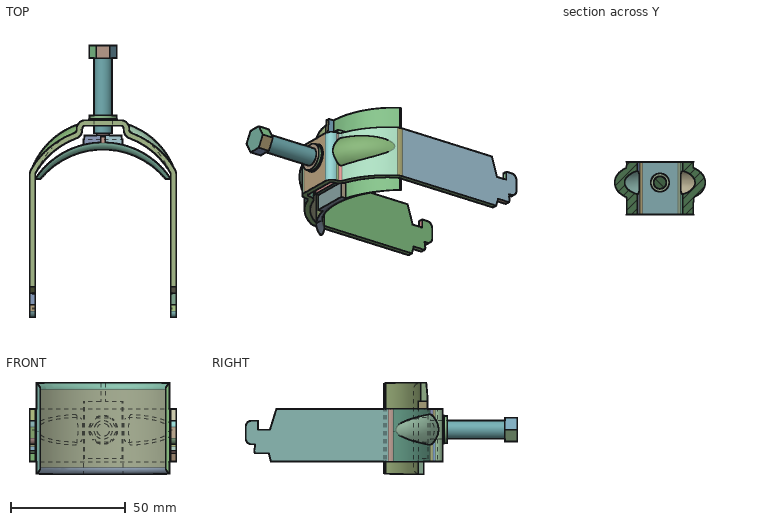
import cadquery as cq
import math


strap_width = 64.0
strap_thickness = 2.5
strap_top = 9.0
strap_bottom = -14.0
half_width = strap_width / 2
arm_end = -86.0

flank_radius = 36.2
flank_center = -39.65
crown_half_width = 11.1
crown_foot_half_width = 11.6
crown_bend_radius = 3.7
foot_bend_radius = 1.5
shoulder_bend_radius = 4.5

rib_ring_radius = 33.3
rib_section_radius = 9.0
rib_end = -21.5

notch_top_start = -72.6
notch_start = -75.4
notch_end = -80.5
notch_level = 0.0
nose_top = 3.9
nose_bottom = -6.5
nose_radius = 2.75
toe_neck = -81.9
toe_slope_top = -7.3
toe_tip = -82.3
toe_tip_level = -9.3
toe_bottom = -10.4
heel_start = -75.0
heel_end = -75.9

bolt_diameter = 8.0
head_corner_diameter = 12.0
head_top = 32.5
head_height = 5.5
shank_end = -5.8
tip_diameter = 5.6
tip_end = -6.65

collar_diameter = 12.0
collar_height = 2.0
collar_foot_diameter = 12.6
collar_foot_height = 0.6

saddle_length = 40.0
saddle_middle = 0.5
saddle_top = saddle_middle + saddle_length / 2
saddle_bottom = saddle_middle - saddle_length / 2
saddle_width = 58.0
saddle_radius = 35.4
saddle_crown = -9.7
saddle_depth = 3.2
lip_radius = 3.0
saddle_end = -25.7
saddle_outer_center = saddle_crown - saddle_radius
saddle_inner_center = saddle_outer_center - saddle_depth

boss_top = 12.4
boss_base_half_width = 8.5
boss_half_width = 8.1
pad_face = -8.3
fin_width = 1.8
fin_top_face = -7.2
fin_shoulder = 14.2


def box(x_range, y_range, z_range):
    """Axis-aligned block between the given limits."""
    lows, highs = zip(x_range, y_range, z_range)
    size = [high - low for low, high in zip(lows, highs)]
    return cq.Workplane("XY").box(*size, centered=False).translate(lows)


def cylinder_along_y(diameter, start, end):
    """Cylinder on the bolt axis between two Y values."""
    disk = cq.Workplane("XZ", origin=(0, end, 0)).circle(diameter / 2)
    return disk.extrude(end - start)


def flank_y(x):
    """Y of the outer flank face at a given X."""
    return flank_center + math.sqrt(flank_radius**2 - x**2)


def bend(block, x, y, radius):
    """Round the two mirrored Z edges of the block at (+-x, y)."""
    reach = 0.1
    for side in (-1, 1):
        low = (side * x - reach, y - reach, strap_bottom - reach)
        high = (side * x + reach, y + reach, strap_top + reach)
        block = block.edges("|Z").edges(cq.selectors.BoxSelector(low, high)).fillet(radius)
    return block


def make_strap_block():
    """Solid block bounded by the outer face of the bent strap."""
    shoulder_y = flank_y(half_width)
    foot_y = flank_y(crown_foot_half_width)
    mid_flank_x = (half_width + crown_foot_half_width) / 2
    mid_flank_y = flank_y(mid_flank_x)
    block_end = arm_end - 2 * strap_thickness
    block = (
        cq.Workplane("XY", origin=(0, 0, strap_bottom))
        .moveTo(-half_width, block_end)
        .lineTo(-half_width, shoulder_y)
        .threePointArc((-mid_flank_x, mid_flank_y), (-crown_foot_half_width, foot_y))
        .lineTo(-crown_half_width, 0)
        .lineTo(crown_half_width, 0)
        .lineTo(crown_foot_half_width, foot_y)
        .threePointArc((mid_flank_x, mid_flank_y), (half_width, shoulder_y))
        .lineTo(half_width, block_end)
        .close()
        .extrude(strap_top - strap_bottom)
    )
    block = bend(block, crown_half_width, 0, crown_bend_radius)
    block = bend(block, crown_foot_half_width, foot_y, foot_bend_radius)
    return bend(block, half_width, shoulder_y, shoulder_bend_radius)


def make_rib_ring(section_radius):
    """Part of a ring around Z with a disk section; rings of any section share one core circle."""
    disk_center = rib_ring_radius - rib_section_radius
    disk = cq.Workplane("XZ").center(disk_center, 0).circle(section_radius)
    ring = disk.revolve(360, (-disk_center, 0), (-disk_center, 1))
    ring = ring.translate((0, -rib_ring_radius, 0))
    return ring.intersect(
        box((-strap_width, strap_width), (rib_end, strap_width), (strap_bottom, strap_top))
    )


def make_arm_outline():
    """Side outline of the strap with the hooked arm ends, as a prism along X."""
    diagonal = nose_radius * (1 - math.sqrt(0.5))
    nose_back = arm_end + nose_radius
    return (
        cq.Workplane("YZ", origin=(-half_width, 0, 0))
        .moveTo(0, strap_top)
        .lineTo(notch_top_start, strap_top)
        .lineTo(notch_start, notch_level)
        .lineTo(notch_end, notch_level)
        .lineTo(notch_end, nose_top)
        .lineTo(nose_back, nose_top)
        .threePointArc((arm_end + diagonal, nose_top - diagonal), (arm_end, nose_top - nose_radius))
        .lineTo(arm_end, nose_bottom + nose_radius)
        .threePointArc((arm_end + diagonal, nose_bottom + diagonal), (nose_back, nose_bottom))
        .lineTo(toe_neck, nose_bottom)
        .lineTo(toe_neck, toe_slope_top)
        .lineTo(toe_tip, toe_tip_level)
        .lineTo(toe_neck, toe_bottom)
        .lineTo(heel_end, toe_bottom)
        .lineTo(heel_start, strap_bottom)
        .lineTo(0, strap_bottom)
        .close()
        .extrude(strap_width)
    )


def make_strap():
    block = make_strap_block()
    cavity = (
        block.faces("<Z").wires().toPending()
        .workplane()
        .offset2D(-strap_thickness)
        .extrude(strap_bottom - strap_top, combine=False)
    )
    band = block.cut(cavity).intersect(make_arm_outline())
    ribs = make_rib_ring(rib_section_radius).cut(block)
    hollows = make_rib_ring(rib_section_radius - strap_thickness)
    bolt_hole = cylinder_along_y(bolt_diameter, -strap_thickness, 0)
    return band.union(ribs).cut(hollows).cut(bolt_hole)


def make_bolt():
    head_base = head_top - head_height
    head = (
        cq.Workplane("XZ", origin=(0, head_top, 0))
        .polygon(6, head_corner_diameter)
        .extrude(head_height)
    )
    shank = cylinder_along_y(bolt_diameter, shank_end, head_base)
    tip = cylinder_along_y(tip_diameter, tip_end, shank_end)
    return head.union(shank).union(tip)


def make_collar():
    """Ring on the strap crown with a slightly flared foot."""
    bore = bolt_diameter / 2
    rim = collar_diameter / 2
    return (
        cq.Workplane("XY")
        .moveTo(bore, 0)
        .lineTo(collar_foot_diameter / 2, 0)
        .lineTo(rim, collar_foot_height)
        .lineTo(rim, collar_height)
        .lineTo(bore, collar_height)
        .close()
        .revolve(360, (0, 0), (0, 1))
    )


def saddle_cylinder(center_y):
    """Full-length cylinder along Z with the saddle radius."""
    return (
        cq.Workplane("XY", origin=(0, center_y, saddle_bottom))
        .circle(saddle_radius)
        .extrude(saddle_length)
    )


def make_saddle_mouth():
    """Space inside the saddle, widened at both ends by a rounded lip."""
    mouth_radius = saddle_radius + lip_radius
    diagonal = lip_radius * (1 - math.sqrt(0.5))
    return (
        cq.Workplane("XZ")
        .moveTo(0, saddle_bottom)
        .lineTo(mouth_radius, saddle_bottom)
        .threePointArc(
            (saddle_radius + diagonal, saddle_bottom + diagonal),
            (saddle_radius, saddle_bottom + lip_radius),
        )
        .lineTo(saddle_radius, saddle_top - lip_radius)
        .threePointArc(
            (saddle_radius + diagonal, saddle_top - diagonal),
            (mouth_radius, saddle_top),
        )
        .lineTo(0, saddle_top)
        .close()
        .revolve(360, (0, 0), (0, 1))
        .translate((0, saddle_inner_center, 0))
    )


def make_saddle_boss():
    """Boss under the bolt tip, with a lower pad below it and a fin above it."""
    root = saddle_crown - saddle_depth / 2
    base_y = saddle_outer_center + math.sqrt(saddle_radius**2 - boss_base_half_width**2)
    boss = (
        cq.Workplane("XY", origin=(0, 0, -boss_top))
        .moveTo(-boss_base_half_width, base_y)
        .lineTo(-boss_half_width, tip_end)
        .lineTo(boss_half_width, tip_end)
        .lineTo(boss_base_half_width, base_y)
        .close()
        .extrude(2 * boss_top)
    )
    pad = box(
        (-boss_base_half_width, boss_base_half_width), (base_y, pad_face), (saddle_bottom, -boss_top)
    )
    fin = (
        cq.Workplane("YZ", origin=(-fin_width / 2, 0, 0))
        .moveTo(root, boss_top)
        .lineTo(tip_end, boss_top)
        .lineTo(tip_end, fin_shoulder)
        .lineTo(fin_top_face, saddle_top)
        .lineTo(root, saddle_top)
        .close()
        .extrude(fin_width)
    )
    return boss.union(pad).union(fin)


def make_saddle():
    half = saddle_width / 2
    envelope = box((-half, half), (saddle_end, 0), (saddle_bottom, saddle_top))
    shell = saddle_cylinder(saddle_outer_center).intersect(envelope)
    return shell.union(make_saddle_boss()).cut(make_saddle_mouth())


strap = make_strap()
bolt = make_bolt()
collar = make_collar()
saddle = make_saddle()

result = cq.Compound.makeCompound([strap.val(), bolt.val(), collar.val(), saddle.val()])